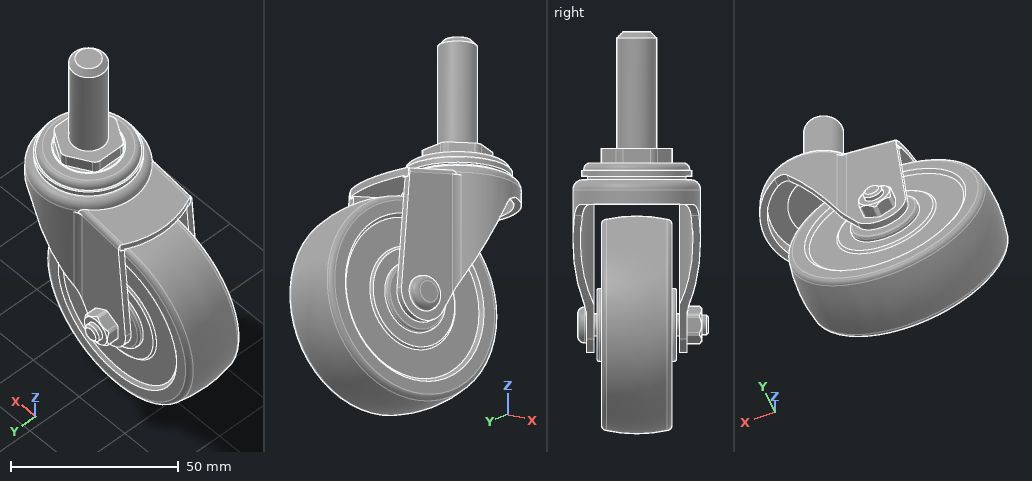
import cadquery as cq
import math


axle_x = -24.0
wheel_radius = 32.5
wheel_half_width = 10.5
shoulder_radius = 31.5
shoulder_y = 9.0
shoulder_round = 1.7
side_radius = 29.9
recess_radius = 25.9
recess_depth = 1.1
boss_radius = 15.2
boss_height = 0.7
hub_radius = 10.9
hub_half_length = 11.9
hub_fillet = 0.7
sleeve_radius = 3.4

sheet = 2.3
leg_outer = 15.0
leg_inner = leg_outer - sheet
leg_end_radius = 8.3
leg_top_front = (-29.1, 36.9)
rear_edge_angle = 60.0
rear_edge_fillet = 7.0
bend_fillet = 1.5
flare_radius = 4.7
plate_front_x = -32.5
plate_front_z = 38.2
plate_front_radius = 32.4
plate_tilt = 8.3

skirt_radius = 19.1
skirt_bottom = 36.1
head_top = 43.3
head_fillet = 3.0
neck_radius = 14.7
cap_radius = 16.4
cap_bottom = 44.2
cap_band_top = 46.0
cap_top = 48.3
cap_round = 2.0
cap_flat_radius = 13.8
seat_chamfer = 0.4

stem_radius = 6.0
stem_top = 87.4
stem_chamfer = 1.9
stem_hex_flats = 19.1
stem_hex_top = 52.6
stem_hex_rounding = 2.4
spigot_radius = 10.7

bolt_radius = 3.0
bolt_end = 21.5
bolt_chamfer = 0.7
bolt_head_radius = 5.4
bolt_head_height = 2.6
bolt_head_round = 2.1
nut_flats = 10.1
nut_height = 4.4
nut_rounding = 1.1
nut_turned_radius = 5.6
nut_chamfer = 0.7

head_underside = head_top - sheet
tilt_slope = math.tan(math.radians(plate_tilt))
plate_drop = sheet / math.cos(math.radians(plate_tilt))
lip_bottom = plate_front_z - plate_drop
margin = 3.6
fork_reach = plate_front_x - margin
fork_floor = -leg_end_radius - margin


def plate_top(x):
    """Height of the sloping plate's top face at X."""
    return plate_front_z + (x - plate_front_x) * tilt_slope


def along_axle(profile):
    """Revolve an outline, drawn as (radius, Y), about the Y axis and move it to the axle."""
    return profile.revolve(360, (0, 0, 0), (0, 1, 0)).translate((axle_x, 0, 0))


def upright_cylinder(radius, bottom, top):
    return cq.Workplane("XY").workplane(offset=bottom).circle(radius).extrude(top - bottom)


def hex_prism(plane, flats, height, rounding):
    """Hexagon with corners on the local Y axis and rounded upright edges."""
    half_sector = 30.0
    corner_diameter = flats / math.cos(math.radians(half_sector))
    turned_plane = cq.Workplane(plane).transformed(rotate=(0, 0, half_sector))
    prism = turned_plane.polygon(6, corner_diameter).extrude(height)
    upright = "|Z" if plane == "XY" else "|Y"
    return prism.edges(upright).fillet(rounding)


def bolt_hole(half_length):
    """Cutting cylinder on the axle, reaching half_length to either side."""
    return cq.Workplane("XZ").center(axle_x, 0).circle(bolt_radius).extrude(half_length, both=True)


def wheel_disc():
    """Plain disc with a crowned tread and rounded shoulders."""
    profile = (
        cq.Workplane("XY")
        .moveTo(0, -wheel_half_width)
        .lineTo(side_radius, -wheel_half_width)
        .radiusArc((shoulder_radius, -shoulder_y), -shoulder_round)
        .threePointArc((wheel_radius, 0), (shoulder_radius, shoulder_y))
        .radiusArc((side_radius, wheel_half_width), -shoulder_round)
        .lineTo(0, wheel_half_width)
        .close()
    )
    return along_axle(profile)


def side_recess():
    """Material removed from the +Y side, leaving a boss with sloping flanks around the hub."""
    recess_floor = wheel_half_width - recess_depth
    profile = (
        cq.Workplane("XY")
        .moveTo(0, wheel_half_width)
        .lineTo(recess_radius, wheel_half_width)
        .lineTo(recess_radius - recess_depth, recess_floor)
        .lineTo(boss_radius + boss_height, recess_floor)
        .lineTo(boss_radius, recess_floor + boss_height)
        .lineTo(0, recess_floor + boss_height)
        .close()
    )
    return along_axle(profile)


def side_hub():
    """Hub and spacer sleeve on the +Y side."""
    profile = (
        cq.Workplane("XY")
        .lineTo(hub_radius, 0)
        .lineTo(hub_radius, hub_half_length - hub_fillet)
        .radiusArc((hub_radius - hub_fillet, hub_half_length), -hub_fillet)
        .lineTo(sleeve_radius, hub_half_length)
        .lineTo(sleeve_radius, leg_inner)
        .lineTo(0, leg_inner)
        .close()
    )
    return along_axle(profile)


def make_wheel():
    recess = side_recess()
    hub = side_hub()
    wheel = wheel_disc().cut(recess).cut(recess.mirror("XZ"))
    wheel = wheel.union(hub).union(hub.mirror("XZ"))
    return wheel.cut(bolt_hole(leg_inner))


def skirt_flare():
    """Stretch of the fork where the flat legs flare through a hollow curve into the round skirt."""
    reach = skirt_radius + flare_radius
    flare_y = leg_outer + flare_radius
    flare_x = -math.sqrt(reach**2 - flare_y**2)
    skirt_x = flare_x * skirt_radius / reach
    skirt_y = flare_y * skirt_radius / reach
    flare_top = plate_top(flare_x) - bend_fillet
    return (
        cq.Workplane("XY")
        .workplane(offset=fork_floor)
        .moveTo(flare_x, -leg_outer)
        .lineTo(flare_x, leg_outer)
        .radiusArc((skirt_x, skirt_y), -flare_radius)
        .lineTo(skirt_x, -skirt_y)
        .radiusArc((flare_x, -leg_outer), -flare_radius)
        .close()
        .extrude(flare_top - fork_floor)
    )


def channel(half_width, drop):
    """Block between the legs' faces, topped by the slope of the plate lowered by drop."""
    return (
        cq.Workplane("XZ")
        .moveTo(fork_reach, fork_floor)
        .lineTo(0, fork_floor)
        .lineTo(0, plate_top(0) - drop)
        .lineTo(fork_reach, plate_top(fork_reach) - drop)
        .close()
        .extrude(half_width, both=True)
    )


def leg_outline():
    """Side outline of the fork: rounded leg ends, near upright front edge, sloping rear edge."""
    front_x, front_z = leg_top_front
    dx = front_x - axle_x
    tangent_angle = math.atan2(front_z, dx) + math.acos(leg_end_radius / math.hypot(dx, front_z))
    front_tangent = (
        axle_x + leg_end_radius * math.cos(tangent_angle),
        leg_end_radius * math.sin(tangent_angle),
    )
    slope = math.radians(rear_edge_angle)
    rear_tangent = (axle_x + leg_end_radius * math.sin(slope), -leg_end_radius * math.cos(slope))
    rear_top_x = rear_tangent[0] + (skirt_bottom - rear_tangent[1]) / math.tan(slope)
    setback = rear_edge_fillet * math.tan(slope / 2)
    fillet_start = (
        rear_top_x - setback * math.cos(slope),
        skirt_bottom - setback * math.sin(slope),
    )
    fillet_end = (rear_top_x + setback, skirt_bottom)
    fillet_mid = (
        fillet_end[0] - rear_edge_fillet * math.sin(slope / 2),
        skirt_bottom - rear_edge_fillet * (1 - math.cos(slope / 2)),
    )
    beyond_skirt = skirt_radius + margin
    return (
        cq.Workplane("XZ")
        .moveTo(*front_tangent)
        .threePointArc((axle_x, -leg_end_radius), rear_tangent)
        .lineTo(*fillet_start)
        .threePointArc(fillet_mid, fillet_end)
        .lineTo(beyond_skirt, skirt_bottom)
        .lineTo(beyond_skirt, head_top)
        .lineTo(front_x, head_top)
        .lineTo(front_x, front_z)
        .close()
        .extrude(beyond_skirt, both=True)
    )


def plate_outline():
    """Everything that lies behind the bowed front edge of the plate, above the lip's underside."""
    bow_centre_x = plate_front_x + plate_front_radius
    return upright_cylinder(plate_front_radius, lip_bottom, head_top).translate((bow_centre_x, 0, 0))


def swivel_cap():
    """Neck and rounded cap in one piece with the fork head."""
    return (
        cq.Workplane("XZ")
        .moveTo(0, head_underside)
        .lineTo(neck_radius, head_underside)
        .lineTo(neck_radius, cap_bottom)
        .lineTo(cap_radius, cap_bottom)
        .lineTo(cap_radius, cap_band_top)
        .lineTo(cap_flat_radius + cap_round, cap_band_top)
        .lineTo(cap_flat_radius + cap_round, cap_top - cap_round)
        .radiusArc((cap_flat_radius, cap_top), -cap_round)
        .lineTo(0, cap_top)
        .close()
        .revolve(360, (0, 0, 0), (0, 1, 0))
    )


def make_fork():
    skirt = upright_cylinder(skirt_radius, fork_floor, head_top).faces(">Z").edges().fillet(head_fillet)
    legs_and_plate = channel(leg_outer, 0).faces(">Z").edges("not |Y").fillet(bend_fillet)
    outside = skirt.union(legs_and_plate).union(skirt_flare())
    skirt_cavity = upright_cylinder(skirt_radius - sheet, fork_floor, head_underside)
    shell = outside.cut(channel(leg_inner, plate_drop)).cut(skirt_cavity)
    trimmed = shell.intersect(leg_outline().union(plate_outline()))
    fork = trimmed.union(swivel_cap())
    seat = upright_cylinder(spigot_radius, head_underside, cap_top)
    fork = fork.cut(seat).cut(bolt_hole(leg_outer))
    seat_rim = fork.faces(">Z").edges(cq.selectors.RadiusNthSelector(0))
    return seat_rim.chamfer(seat_chamfer)


def make_stem():
    spigot = upright_cylinder(spigot_radius, head_underside, cap_top)
    hexagon = hex_prism("XY", stem_hex_flats, stem_hex_top - cap_top, stem_hex_rounding)
    shank = upright_cylinder(stem_radius, cap_top, stem_top).faces(">Z").chamfer(stem_chamfer)
    return spigot.union(hexagon.translate((0, 0, cap_top))).union(shank)


def make_bolt():
    head_end = -leg_outer - bolt_head_height
    profile = (
        cq.Workplane("XY")
        .moveTo(0, head_end)
        .lineTo(bolt_head_radius - bolt_head_round, head_end)
        .radiusArc((bolt_head_radius, head_end + bolt_head_round), -bolt_head_round)
        .lineTo(bolt_head_radius, -leg_outer)
        .lineTo(bolt_radius, -leg_outer)
        .lineTo(bolt_radius, bolt_end - bolt_chamfer)
        .lineTo(bolt_radius - bolt_chamfer, bolt_end)
        .lineTo(0, bolt_end)
        .close()
    )
    return along_axle(profile)


def make_nut():
    hexagon = hex_prism("XZ", nut_flats, nut_height, nut_rounding)
    turned = cq.Workplane("XZ").circle(nut_turned_radius).extrude(nut_height)
    turned = turned.faces(">Y").chamfer(nut_chamfer)
    nut_end = leg_outer + nut_height
    nut = hexagon.intersect(turned).translate((axle_x, nut_end, 0))
    return nut.cut(bolt_hole(nut_end))


wheel = make_wheel()
fork = make_fork()
stem = make_stem()
bolt = make_bolt()
nut = make_nut()

bodies = [wheel, fork, stem, bolt, nut]
result = cq.Compound.makeCompound([body.solids().val() for body in bodies])